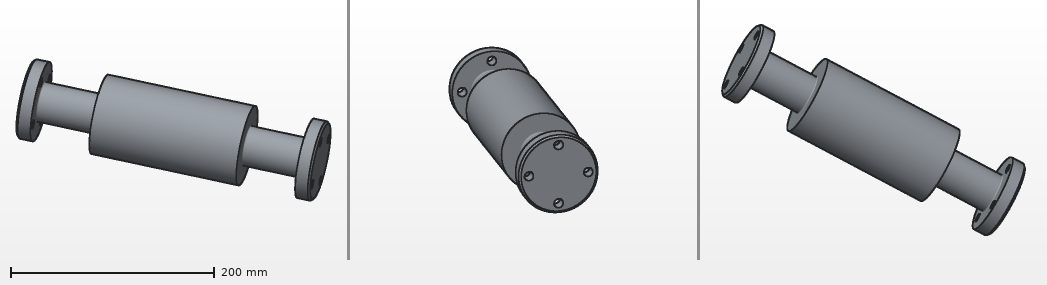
import cadquery as cq

total_length = 300.0
body_length = total_length / 2
outer_diameter = 80.0
shaft_diameter = outer_diameter / 2
flange_thickness = 15.0
flange_chamfer = 2.0
shaft_fillet = 1.2
hole_diameter = 9.0
hole_circle_diameter = 60.0
hole_count = 4


def cylinder_x(diameter, length, start_x):
    """Solid cylinder along X beginning at start_x."""
    plane = cq.Workplane("YZ", origin=(start_x, 0, 0))
    return plane.circle(diameter / 2).extrude(length)


def flange(start_x, outer_face):
    """End flange with a chamfered outer rim and a ring of through holes."""
    disc = cylinder_x(outer_diameter, flange_thickness, start_x)
    disc = disc.faces(outer_face).edges().chamfer(flange_chamfer)
    holes = (
        cq.Workplane("YZ", origin=(start_x, 0, 0))
        .polarArray(hole_circle_diameter / 2, 0, 360, hole_count)
        .circle(hole_diameter / 2)
        .extrude(flange_thickness)
    )
    return disc.cut(holes)


shaft_span = total_length - 2 * flange_thickness
shaft = cylinder_x(shaft_diameter, shaft_span, -shaft_span / 2)
body = cylinder_x(outer_diameter, body_length, -body_length / 2)
left_flange = flange(-total_length / 2, "<X")
right_flange = flange(shaft_span / 2, ">X")
roller = shaft.union(body).union(left_flange).union(right_flange)

corner_edges = cq.selectors.RadiusNthSelector(1)
result = roller.edges(corner_edges).fillet(shaft_fillet)